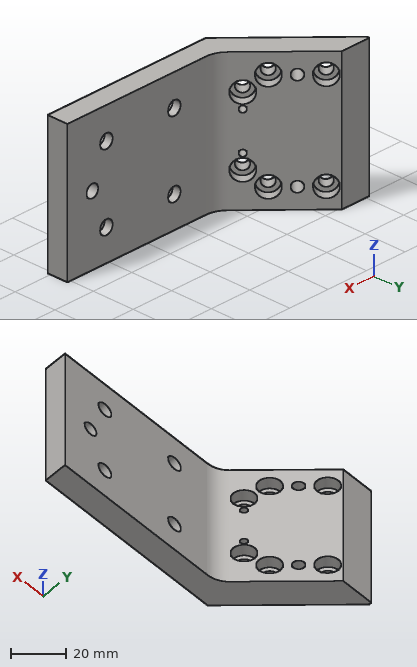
import cadquery as cq
import math

length = 123.5
depth = 42.5
height = 65.0
plate_thickness = 10.0
wing_thickness = 11.0
bend_angle = 45.0
tip_flat = 1.2
inner_bend_radius = 11.0

angle = math.radians(bend_angle)
bend_x = (depth - tip_flat) / math.tan(angle)
inner_tip_x = wing_thickness / math.sin(angle) - tip_flat / math.tan(angle)
inner_bend_x = inner_tip_x + (depth - plate_thickness) / math.tan(angle)

mount_pitch = 35.3
mount_center_x = 85.6
mount_diameter = 6.5
mount_counterbore_diameter = 11.2
mount_counterbore_depth = 6.0
locating_diameter = 6.0
locating_x = 110.5

screw_diameter = 5.5
screw_counterbore_diameter = 9.8
screw_seat_thickness = 6.0
dowel_diameter = 5.0
pin_diameter = 3.0
row_center = 33.0
row_pitch = 10.5
row_half_spacing = 23.0
column_distance = 13.2
column_screw_half_spacing = 15.9
column_pin_half_spacing = 9.0


def make_body():
    """Bent plate, centred on Z = 0, with its outer face on Y = 0."""
    outline = [
        (0, depth),
        (0, depth - tip_flat),
        (bend_x, 0),
        (length, 0),
        (length, plate_thickness),
        (inner_bend_x, plate_thickness),
        (inner_tip_x, depth),
    ]
    body = cq.Workplane("XY").workplane(offset=-height / 2).polyline(outline).close().extrude(height)
    inner_corner = cq.selectors.NearestToPointSelector((inner_bend_x, plate_thickness, 0))
    return body.edges(inner_corner).fillet(inner_bend_radius)


def cylinders(plane, points, diameter, start, end):
    """Cylinders between two depths below the given plane."""
    return (
        cq.Workplane(plane)
        .workplane(offset=-start)
        .pushPoints(points)
        .circle(diameter / 2)
        .extrude(start - end)
    )


def mirrored(distances, half_spacing):
    """Points at each distance, above and below the mid-height."""
    return [(distance, side * half_spacing) for distance in distances for side in (-1, 1)]


def cut_plate_holes(body):
    face = cq.Plane(origin=(0, 0, 0), xDir=(1, 0, 0), normal=(0, -1, 0))
    columns = [mount_center_x - mount_pitch / 2, mount_center_x + mount_pitch / 2]
    mounts = mirrored(columns, mount_pitch / 2)
    body = body.cut(cylinders(face, mounts, mount_diameter, 0, plate_thickness))
    body = body.cut(cylinders(face, mounts, mount_counterbore_diameter, 0, mount_counterbore_depth))
    return body.cut(cylinders(face, [(locating_x, 0)], locating_diameter, 0, plate_thickness))


def cut_wing_holes(body):
    face = cq.Plane(
        origin=(bend_x, 0, 0),
        xDir=(-math.cos(angle), math.sin(angle), 0),
        normal=(-math.sin(angle), -math.cos(angle), 0),
    )
    screws = mirrored([row_center - row_pitch, row_center + row_pitch], row_half_spacing)
    screws += mirrored([column_distance], column_screw_half_spacing)
    dowels = mirrored([row_center], row_half_spacing)
    pins = mirrored([column_distance], column_pin_half_spacing)

    drill_end = 2 * wing_thickness
    for points, diameter in ((screws, screw_diameter), (dowels, dowel_diameter), (pins, pin_diameter)):
        body = body.cut(cylinders(face, points, diameter, 0, drill_end))
    return body.cut(cylinders(face, screws, screw_counterbore_diameter, screw_seat_thickness, drill_end))


result = cut_wing_holes(cut_plate_holes(make_body()))